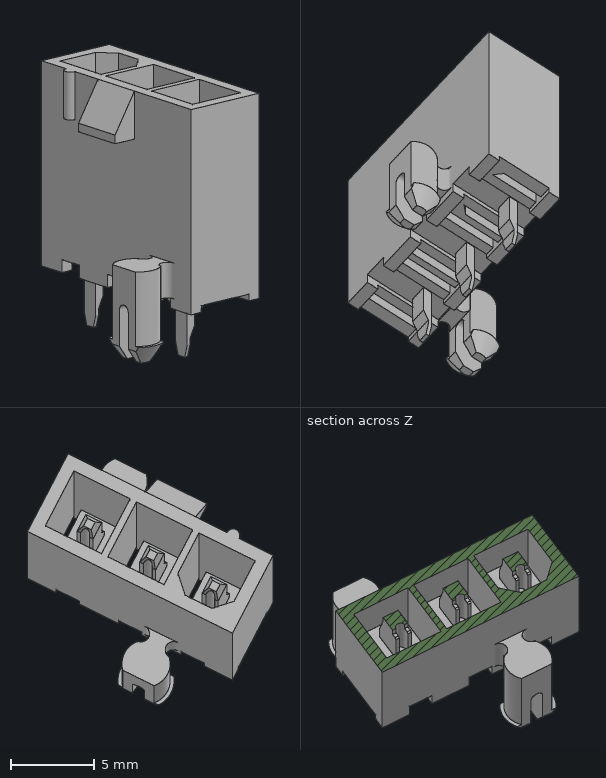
import cadquery as cq


overall_depth = 11.4
overall_height = 16.3

pitch = 4.2
body_width = 13.8
body_depth = 5.38
body_height = 12.83
circuit_xs = [-pitch, 0, pitch]

socket_size = 3.78
socket_depth = 9.6
key_chamfer = 1.0
floor_width = 2.8
socket_floor_z = body_height - socket_depth

recess_height = 0.42
notch_width = 1.56
notch_height = 0.82

latch_width = 3.35
latch_reach = 1.53
latch_height = 3.0
latch_lip = 0.54
rib_radius = 0.4

peg_top_z = 2.89
peg_diameter = 2.9
peg_thickness = 2.0
peg_gap = (overall_depth - body_depth) / 2 - peg_thickness
neck_width = 1.19
neck_bottom_z = 0.65
barb_diameter = 3.39
barb_top_z = -1.76
peg_tip_diameter = 1.8
peg_tip_thickness = 0.75
peg_taper_z = -2.07
peg_bottom_z = -2.98
peg_slot_width = 0.82
peg_slot_top_z = 0.59

pin_width = 1.08
pin_front_y = -0.8
pin_back_y = 0.35
pin_top_z = 8.8
pin_tip_size = 0.52
pin_tip_y = -0.21
pin_tip_length = 0.82
pin_groove_width = 0.6
pin_groove_bottom_y = 0.1
shank_front_y = -1.15
shank_back_y = 0.72
shank_top_z = 5.22
shank_slope_height = 1.14
shank_back_bevel = 0.1
tail_back_y = -0.55
tail_thin_thickness = 0.25
tail_taper_top_z = -1.53
tail_taper_bottom_z = -2.28
tail_point_z = -2.67
tail_point_width = 0.62
tail_bottom_z = body_height - overall_height


def block(x_range, y_range, z_range):
    """Axis-aligned box between pairs of limits."""
    limits = (x_range, y_range, z_range)
    size = [high - low for low, high in limits]
    return cq.Workplane("XY").box(*size, centered=False).translate([low for low, high in limits])


def centred_block(width, depth, z_low, z_high):
    """Box centred on X and Y between two heights."""
    return block((-width / 2, width / 2), (-depth / 2, depth / 2), (z_low, z_high))


def make_socket(keyed):
    """Space of one socket, with an opening through the floor on either side."""
    openings = centred_block(socket_size, socket_size, 0, socket_floor_z)
    openings = openings.cut(centred_block(floor_width, socket_size, 0, socket_floor_z))
    socket = centred_block(socket_size, socket_size, socket_floor_z, body_height).union(openings)
    if keyed:
        outline = centred_block(socket_size, socket_size, 0, body_height)
        socket = socket.intersect(outline.edges("|Z and >Y").chamfer(key_chamfer))
    return socket


def make_housing():
    housing = centred_block(body_width, body_depth, 0, body_height)
    housing = housing.cut(centred_block(body_width, socket_size, 0, recess_height))
    for x in circuit_xs:
        housing = housing.cut(make_socket(x == circuit_xs[0]).translate((x, 0, 0)))
        housing = housing.cut(centred_block(notch_width, body_depth, 0, notch_height).translate((x, 0, 0)))
    return housing


def make_latch():
    """Ramp that widens downwards from the top edge of the front face."""
    front_y = -body_depth / 2
    bottom_z = body_height - latch_height
    profile = [
        (front_y, body_height),
        (front_y - latch_reach, bottom_z + latch_lip),
        (front_y - latch_reach, bottom_z),
        (front_y, bottom_z),
    ]
    return cq.Workplane("YZ").polyline(profile).close().extrude(latch_width / 2, both=True)


def make_rib():
    """Half-round rib beside the latch, as tall as the latch."""
    rib = cq.Workplane("XY", origin=(circuit_xs[0], -body_depth / 2, body_height - latch_height))
    rib = rib.circle(rib_radius).extrude(latch_height)
    return rib.cut(centred_block(body_width, body_depth, 0, body_height))


def make_peg():
    """Split snap-in peg standing in front of the housing, on X = 0."""
    peg_y = -body_depth / 2 - peg_gap - peg_thickness / 2
    half = peg_thickness / 2

    shank_height = peg_top_z - barb_top_z
    peg = cq.Workplane("XY", origin=(0, 0, barb_top_z)).circle(peg_diameter / 2).extrude(shank_height)
    barb = (
        cq.Workplane("XY", origin=(0, 0, barb_top_z))
        .circle(barb_diameter / 2)
        .workplane(offset=peg_bottom_z - barb_top_z)
        .circle(peg_tip_diameter / 2)
        .loft()
    )
    side_profile = [
        (-half, peg_top_z),
        (half, peg_top_z),
        (half, peg_taper_z),
        (peg_tip_thickness / 2, peg_bottom_z),
        (-peg_tip_thickness / 2, peg_bottom_z),
        (-half, peg_taper_z),
    ]
    flats = cq.Workplane("YZ").polyline(side_profile).close().extrude(barb_diameter / 2, both=True)
    peg = peg.union(barb).intersect(flats)

    slot_radius = peg_slot_width / 2
    slot_shoulder_z = peg_slot_top_z - slot_radius
    slot = centred_block(peg_slot_width, peg_thickness, peg_bottom_z, slot_shoulder_z)
    slot_end = cq.Workplane("XZ", origin=(0, 0, slot_shoulder_z)).circle(slot_radius).extrude(half, both=True)
    peg = peg.cut(slot).cut(slot_end).translate((0, peg_y, 0))

    neck_radius = peg_gap / 2
    hollow_x = neck_width / 2 + neck_radius
    neck_y = -body_depth / 2 - neck_radius
    neck = centred_block(2 * hollow_x, peg_gap, neck_bottom_z, peg_top_z).translate((0, neck_y, 0))
    hollows = (
        cq.Workplane("XY", origin=(0, neck_y, neck_bottom_z))
        .pushPoints([(-hollow_x, 0), (hollow_x, 0)])
        .circle(neck_radius)
        .extrude(peg_top_z - neck_bottom_z)
    )
    return peg.union(neck.cut(hollows))


def make_contact():
    """One contact on X = 0: a grooved pin with a blunt tip above a flat solder tail."""
    pin_depth = pin_back_y - pin_front_y
    pin_y = (pin_front_y + pin_back_y) / 2
    shoulder_z = pin_top_z - pin_tip_length
    pin = block((-pin_width / 2, pin_width / 2), (pin_front_y, pin_back_y), (socket_floor_z, shoulder_z))
    tip = (
        cq.Workplane("XY", origin=(0, pin_y, shoulder_z))
        .rect(pin_width, pin_depth)
        .workplane(offset=pin_tip_length)
        .center(0, pin_tip_y - pin_y)
        .rect(pin_tip_size, pin_tip_size)
        .loft()
    )

    shank_profile = [
        (shank_front_y, socket_floor_z),
        (shank_back_y, socket_floor_z),
        (shank_back_y, shank_top_z - shank_back_bevel),
        (shank_back_y - shank_back_bevel, shank_top_z),
        (pin_front_y, shank_top_z),
        (shank_front_y, shank_top_z - shank_slope_height),
    ]
    shank = cq.Workplane("YZ").polyline(shank_profile).close().extrude(pin_width / 2, both=True)
    groove_radius = pin_groove_width / 2
    groove_centre_y = pin_groove_bottom_y + groove_radius
    groove = block(
        (-pin_groove_width / 2, pin_groove_width / 2),
        (groove_centre_y, shank_back_y),
        (socket_floor_z, pin_top_z),
    )
    groove_bottom = cq.Workplane("XY", origin=(0, groove_centre_y, socket_floor_z))
    groove_bottom = groove_bottom.circle(groove_radius).extrude(pin_top_z - socket_floor_z)
    upper = pin.union(tip).union(shank).cut(groove).cut(groove_bottom)

    thin_back_y = shank_front_y + tail_thin_thickness
    tail_profile = [
        (shank_front_y, socket_floor_z),
        (tail_back_y, socket_floor_z),
        (tail_back_y, tail_taper_top_z),
        (thin_back_y, tail_taper_bottom_z),
        (thin_back_y, tail_bottom_z),
        (shank_front_y, tail_bottom_z),
    ]
    tail = cq.Workplane("YZ").polyline(tail_profile).close().extrude(pin_width / 2, both=True)
    point_outline = [
        (-pin_width / 2, socket_floor_z),
        (pin_width / 2, socket_floor_z),
        (pin_width / 2, tail_point_z),
        (tail_point_width / 2, tail_bottom_z),
        (-tail_point_width / 2, tail_bottom_z),
        (-pin_width / 2, tail_point_z),
    ]
    outline = cq.Workplane("XZ").polyline(point_outline).close().extrude(body_depth / 2, both=True)
    return upper.union(tail.intersect(outline))


result = make_housing().union(make_latch()).union(make_rib())
front_peg = make_peg()
result = result.union(front_peg.translate((pitch, 0, 0)))
result = result.union(front_peg.mirror("XZ").translate((-pitch / 2, 0, 0)))
for contact_x in circuit_xs:
    result = result.union(make_contact().translate((contact_x, 0, 0)))